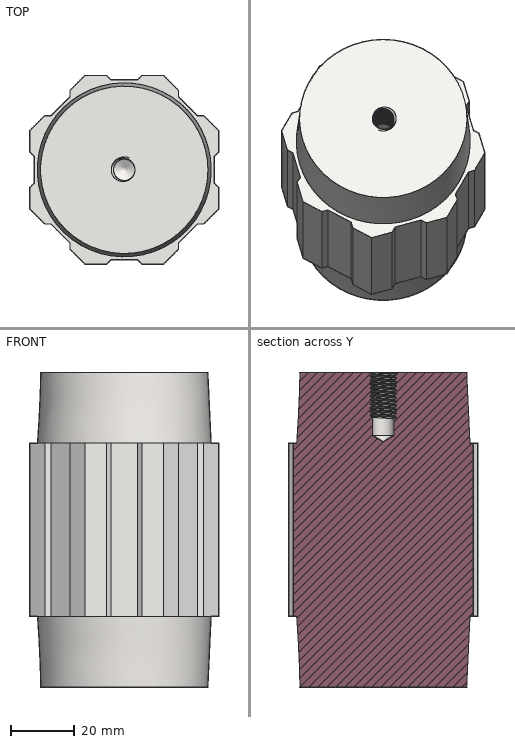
import cadquery as cq
import math

length = 100.0
across_flats = 60.0
side_count = 8

grip_length = 55.0
groove_depth = 1.4
groove_width = 11.3
groove_wall_angle = 45.0

end_diameter = 53.1
end_root_diameter = 55.2

hole_depth = 20.0
drill_point_angle = 118.0
minor_diameter = 6.8
major_diameter = 8.2
thread_length = 15.0
thread_turns = 12
thread_pitch = thread_length / thread_turns
thread_half_angle = 30.0
thread_root_flat = thread_pitch / 8
thread_overlap = 0.1

half_length = length / 2
half_grip = grip_length / 2
flat_radius = across_flats / 2


def make_grip():
    """Octagonal prism with flats facing X and Y and a flared groove in every flat."""
    corner_diameter = across_flats / math.cos(math.pi / side_count)
    grip = (
        cq.Workplane("XY")
        .workplane(offset=-half_grip)
        .transformed(rotate=(0, 0, 180 / side_count))
        .polygon(side_count, corner_diameter)
        .extrude(grip_length)
    )
    mouth = groove_width / 2
    floor = mouth - groove_depth / math.tan(math.radians(groove_wall_angle))
    floor_radius = flat_radius - groove_depth
    groove = (
        cq.Workplane("XY")
        .workplane(offset=-half_grip)
        .polyline(
            [
                (flat_radius, -mouth),
                (floor_radius, -floor),
                (floor_radius, floor),
                (flat_radius, mouth),
            ]
        )
        .close()
        .extrude(grip_length)
    )
    for side in range(side_count):
        angle = side * 360 / side_count
        grip = grip.cut(groove.rotate((0, 0, 0), (0, 0, 1), angle))
    return grip


def make_core():
    """Round core running end to end, tapering from the grip out to each end face."""
    end_radius = end_diameter / 2
    root_radius = end_root_diameter / 2
    return (
        cq.Workplane("XZ")
        .moveTo(0, -half_length)
        .lineTo(end_radius, -half_length)
        .lineTo(root_radius, -half_grip)
        .lineTo(root_radius, half_grip)
        .lineTo(end_radius, half_length)
        .lineTo(0, half_length)
        .close()
        .revolve(360, (0, 0, 0), (0, 1, 0))
    )


def make_bore():
    """Drilled blind hole with a conical point."""
    bore_radius = minor_diameter / 2
    shoulder = half_length - hole_depth
    tip = shoulder - bore_radius / math.tan(math.radians(drill_point_angle / 2))
    return (
        cq.Workplane("YZ")
        .moveTo(0, half_length)
        .lineTo(bore_radius, half_length)
        .lineTo(bore_radius, shoulder)
        .lineTo(0, tip)
        .close()
        .revolve(360, (0, 0, 0), (0, 1, 0))
    )


def make_thread():
    """Right-hand helical groove whose centre meets the top face on the -X side."""
    inner_radius = minor_diameter / 2 - thread_overlap
    outer_radius = major_diameter / 2
    half_flat = thread_root_flat / 2
    half_mouth = half_flat + (outer_radius - inner_radius) * math.tan(math.radians(thread_half_angle))
    helix_length = (thread_turns + 1) * thread_pitch
    start = half_length - thread_length
    helix = cq.Wire.makeHelix(thread_pitch, helix_length, inner_radius)
    thread = (
        cq.Workplane("XZ")
        .polyline(
            [
                (inner_radius, -half_mouth),
                (outer_radius, -half_flat),
                (outer_radius, half_flat),
                (inner_radius, half_mouth),
            ]
        )
        .close()
        .sweep(cq.Workplane(helix), isFrenet=True)
    )
    return thread.rotate((0, 0, 0), (0, 0, 1), 180).translate((0, 0, start))


result = make_core().union(make_grip()).cut(make_bore()).cut(make_thread())